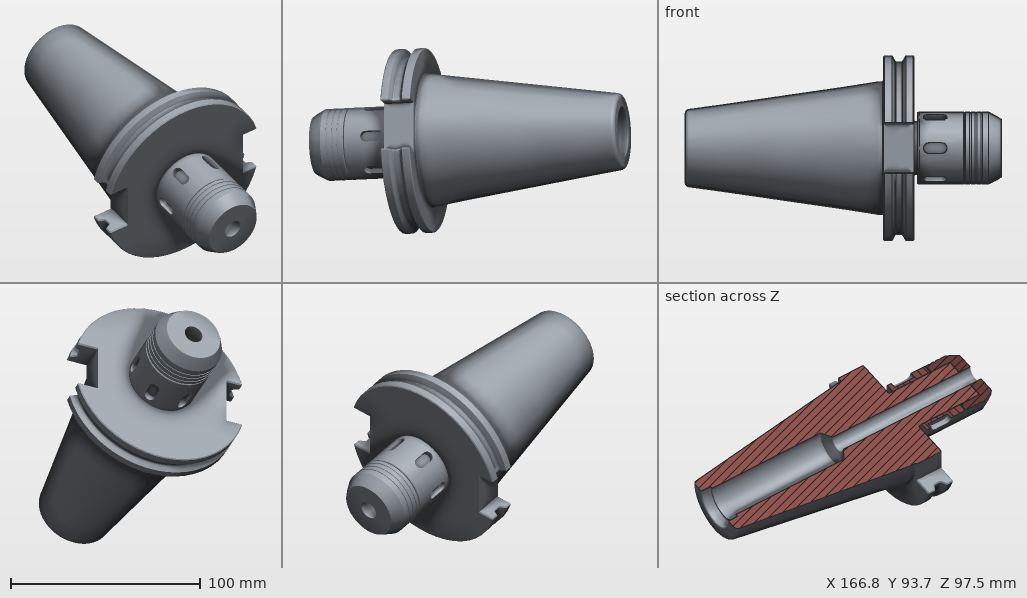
import cadquery as cq
import math

TOTAL_LENGTH = 166.8
THROUGH_BORE_D = 10.0

GAUGE_D = 70.0
GAUGE_X = 102.2
TAPER_PER_LENGTH = 7 / 24
SHANK_END_FILLET = 2.3
SHANK_ROOT_FILLET = 0.7

FLANGE_D = 97.5
FLANGE_START = 104.7
FLANGE_END = 120.7
FLANGE_CHAMFER = 0.5
GROOVE_D = 91.0
GROOVE_CENTRE = 112.7
GROOVE_FLOOR_WIDTH = 3.7
GROOVE_CORNER_FILLET = 0.5
GROOVE_FLANK_ANGLE = 30.0
DRIVE_SLOT_WIDTH = 25.7
DRIVE_SLOT_CHAMFER = 0.7
LENGTH_TOLERANCE = 0.02
DRIVE_SLOT_FLOOR_MINUS_Y = 35.7
DRIVE_SLOT_FLOOR_PLUS_Y = 37.9

NECK_D = 28.0
NECK_ROOT_FILLET = 0.7

BORE_MOUTH_FILLET = 0.8
BORE_THREAD_D = 25.3
BORE_RELIEF_D = 25.0
BORE_D = 22.0
BORE_THREAD_END = 3.8
BORE_RELIEF_START = 4.8
BORE_RELIEF_END = 6.0
BORE_END = 75.0
DRILL_POINT_ANGLE = 118.0

COLLAR_D = 38.0
RING_START = 122.5
RING_END = 147.3
RING_CHAMFER_LENGTH = 1.0
RING_CHAMFER_DEPTH = 0.3
JOINT_CHAMFER = 0.3
SPANNER_SLOT_COUNT = 6
SPANNER_SLOT_LENGTH = 12.3
SPANNER_SLOT_WIDTH = 5.7
SPANNER_SLOT_DEPTH = 3.3
SPANNER_SLOT_CENTRE = 131.9

NOSE_GAP = 0.3
NOSE_SHOULDER = 160.0
NOSE_TIP_D = 30.4
NOSE_BULGE = 0.2
NOSE_GROOVE_START = 150.0
NOSE_GROOVE_COUNT = 3
NOSE_GROOVE_PITCH = 3.0
NOSE_GROOVE_WIDTH = 1.0
NOSE_GROOVE_DEPTH = 0.3

gauge_r = GAUGE_D / 2
flange_r = FLANGE_D / 2
flange_width = FLANGE_END - FLANGE_START
groove_r = GROOVE_D / 2
neck_r = NECK_D / 2
collar_r = COLLAR_D / 2
through_r = THROUGH_BORE_D / 2
shank_end_r = gauge_r - GAUGE_X * TAPER_PER_LENGTH / 2
nose_start = RING_END + NOSE_GAP
neck_end = NOSE_SHOULDER


def revolve_about_x(outline):
    """Turn a closed (X, radius) outline about the X axis."""
    return outline.close().revolve(360, (0, 0, 0), (1, 0, 0))


def cylinder(start, end, diameter):
    """Solid cylinder along X between two stations."""
    return cq.Workplane("YZ", origin=(start, 0, 0)).circle(diameter / 2).extrude(end - start)


def shank():
    body = revolve_about_x(
        cq.Workplane("XY")
        .moveTo(0, 0)
        .lineTo(0, shank_end_r)
        .lineTo(GAUGE_X, gauge_r)
        .lineTo(FLANGE_START, gauge_r)
        .lineTo(FLANGE_START, 0)
    )
    return body.faces("<X").edges().fillet(SHANK_END_FILLET)


def flange():
    flank_run = (flange_r - groove_r) * math.tan(math.radians(GROOVE_FLANK_ANGLE))
    floor_half = GROOVE_FLOOR_WIDTH / 2
    body = revolve_about_x(
        cq.Workplane("XY")
        .moveTo(FLANGE_START, 0)
        .lineTo(FLANGE_START, flange_r - FLANGE_CHAMFER)
        .lineTo(FLANGE_START + FLANGE_CHAMFER, flange_r)
        .lineTo(GROOVE_CENTRE - floor_half - flank_run, flange_r)
        .lineTo(GROOVE_CENTRE - floor_half, groove_r)
        .lineTo(GROOVE_CENTRE + floor_half, groove_r)
        .lineTo(GROOVE_CENTRE + floor_half + flank_run, flange_r)
        .lineTo(FLANGE_END - FLANGE_CHAMFER, flange_r)
        .lineTo(FLANGE_END, flange_r - FLANGE_CHAMFER)
        .lineTo(FLANGE_END, 0)
    )
    groove_corners = cq.selectors.RadiusNthSelector(0)
    body = body.edges(groove_corners).fillet(GROOVE_CORNER_FILLET)
    body = body.cut(drive_slot(DRIVE_SLOT_FLOOR_MINUS_Y, -1))
    body = body.cut(drive_slot(DRIVE_SLOT_FLOOR_PLUS_Y, 1))
    return body.newObject(drive_slot_wall_rims(body)).chamfer(DRIVE_SLOT_CHAMFER)


def root_fillet(face_x, radius, size, direction):
    """Disc with a concave rim that rounds the corner between a face and a cylinder.

    The direction is 1 or -1, the way along X from the face to the cylinder.
    """
    centre_x = face_x + direction * size
    centre_r = radius + size
    reach = size * math.sqrt(0.5)
    return revolve_about_x(
        cq.Workplane("XY")
        .moveTo(face_x, 0)
        .lineTo(face_x, centre_r)
        .threePointArc((centre_x - direction * reach, centre_r - reach), (centre_x, radius))
        .lineTo(centre_x, 0)
    )


def drive_slot(floor, side):
    """Slot across the whole flange on the +Y (side 1) or -Y (side -1) edge."""
    depth = flange_r
    centre = ((FLANGE_START + FLANGE_END) / 2, side * (floor + depth / 2), 0)
    return cq.Workplane("XY").box(flange_width, depth, DRIVE_SLOT_WIDTH).translate(centre)


def drive_slot_wall_rims(body):
    """Edges around the drive slot walls, without the inner corners along the slot floors."""
    rims = []
    for wall in body.faces("|Z").vals():
        for edge in wall.Edges():
            along_floor = math.isclose(edge.Length(), flange_width, abs_tol=LENGTH_TOLERANCE)
            if not along_floor:
                rims.append(edge)
    return rims


def drawbar_bore():
    thread_r = BORE_THREAD_D / 2
    mouth_r = thread_r + BORE_MOUTH_FILLET
    reach = BORE_MOUTH_FILLET * (1 - math.sqrt(0.5))
    drill_point = BORE_D / 2 / math.tan(math.radians(DRILL_POINT_ANGLE / 2))
    return revolve_about_x(
        cq.Workplane("XY")
        .moveTo(0, 0)
        .lineTo(0, mouth_r)
        .threePointArc((reach, thread_r + reach), (BORE_MOUTH_FILLET, thread_r))
        .lineTo(BORE_THREAD_END, thread_r)
        .lineTo(BORE_RELIEF_START, BORE_RELIEF_D / 2)
        .lineTo(BORE_RELIEF_END, BORE_RELIEF_D / 2)
        .lineTo(BORE_RELIEF_END, BORE_D / 2)
        .lineTo(BORE_END, BORE_D / 2)
        .lineTo(BORE_END + drill_point, 0)
    )


def make_holder():
    holder = (
        shank()
        .union(flange())
        .union(root_fillet(FLANGE_START, gauge_r, SHANK_ROOT_FILLET, -1))
        .union(cylinder(FLANGE_END, neck_end, NECK_D))
        .union(root_fillet(FLANGE_END, neck_r, NECK_ROOT_FILLET, 1))
    )
    return holder.cut(drawbar_bore()).cut(cylinder(0, neck_end, THROUGH_BORE_D))


def spanner_slot(angle):
    """Round-ended slot with a flat floor, turned about X from the -Y side."""
    floor = collar_r - SPANNER_SLOT_DEPTH
    slot = (
        cq.Workplane("XZ", origin=(SPANNER_SLOT_CENTRE, -floor, 0))
        .slot2D(SPANNER_SLOT_LENGTH, SPANNER_SLOT_WIDTH)
        .extrude(collar_r)
    )
    return slot.rotate((0, 0, 0), (1, 0, 0), angle)


def make_ring():
    ring = revolve_about_x(
        cq.Workplane("XY")
        .moveTo(RING_START, neck_r)
        .lineTo(RING_START, collar_r - RING_CHAMFER_DEPTH)
        .lineTo(RING_START + RING_CHAMFER_LENGTH, collar_r)
        .lineTo(RING_END - JOINT_CHAMFER, collar_r)
        .lineTo(RING_END, collar_r - JOINT_CHAMFER)
        .lineTo(RING_END, neck_r)
    )
    for index in range(SPANNER_SLOT_COUNT):
        ring = ring.cut(spanner_slot(index * 360 / SPANNER_SLOT_COUNT))
    return ring


def nose_groove(start):
    outer = cylinder(start, start + NOSE_GROOVE_WIDTH, COLLAR_D)
    core = cylinder(start, start + NOSE_GROOVE_WIDTH, COLLAR_D - 2 * NOSE_GROOVE_DEPTH)
    return outer.cut(core)


def make_nose():
    tip_r = NOSE_TIP_D / 2
    nose = revolve_about_x(
        cq.Workplane("XY")
        .moveTo(nose_start, neck_r)
        .lineTo(nose_start, collar_r - JOINT_CHAMFER)
        .lineTo(nose_start + JOINT_CHAMFER, collar_r)
        .lineTo(NOSE_SHOULDER, collar_r)
        .sagittaArc((TOTAL_LENGTH, tip_r), NOSE_BULGE)
        .lineTo(TOTAL_LENGTH, through_r)
        .lineTo(neck_end, through_r)
        .lineTo(neck_end, neck_r)
    )
    for index in range(NOSE_GROOVE_COUNT):
        nose = nose.cut(nose_groove(NOSE_GROOVE_START + index * NOSE_GROOVE_PITCH))
    return nose


holder = make_holder()
ring = make_ring()
nose = make_nose()

result = cq.Compound.makeCompound([holder.val(), ring.val(), nose.val()])